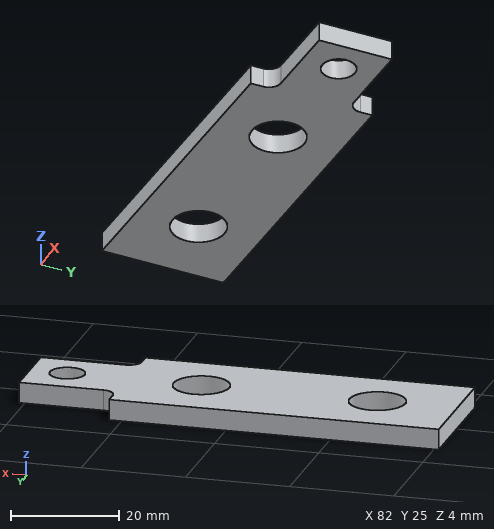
import cadquery as cq

length = 82.0
width = 25.0
thickness = 4.0

body_length = 63.3
tab_width = 15.0
corner_radius = 2.5

large_hole_diameter = 10.7
large_hole_positions = (15.25, 49.0)
tab_hole_diameter = 6.65
tab_hole_position = 74.8


def plate_with_tab():
    """Wide body and narrow tab, with rounded inner corners where they meet."""
    body = cq.Workplane("XY").box(body_length, width, thickness, centered=(False, True, False))
    tab = cq.Workplane("XY").box(length, tab_width, thickness, centered=(False, True, False))
    inner_corners = cq.selectors.BoxSelector(
        (body_length - corner_radius, -tab_width / 2 - corner_radius, 0),
        (body_length + corner_radius, tab_width / 2 + corner_radius, thickness),
    )
    return body.union(tab).edges("|Z").edges(inner_corners).fillet(corner_radius)


def through_holes(positions, diameter):
    """Cylinders that cut holes along the centre line."""
    centres = [(x, 0) for x in positions]
    return cq.Workplane("XY").pushPoints(centres).circle(diameter / 2).extrude(thickness)


result = (
    plate_with_tab()
    .cut(through_holes(large_hole_positions, large_hole_diameter))
    .cut(through_holes([tab_hole_position], tab_hole_diameter))
)